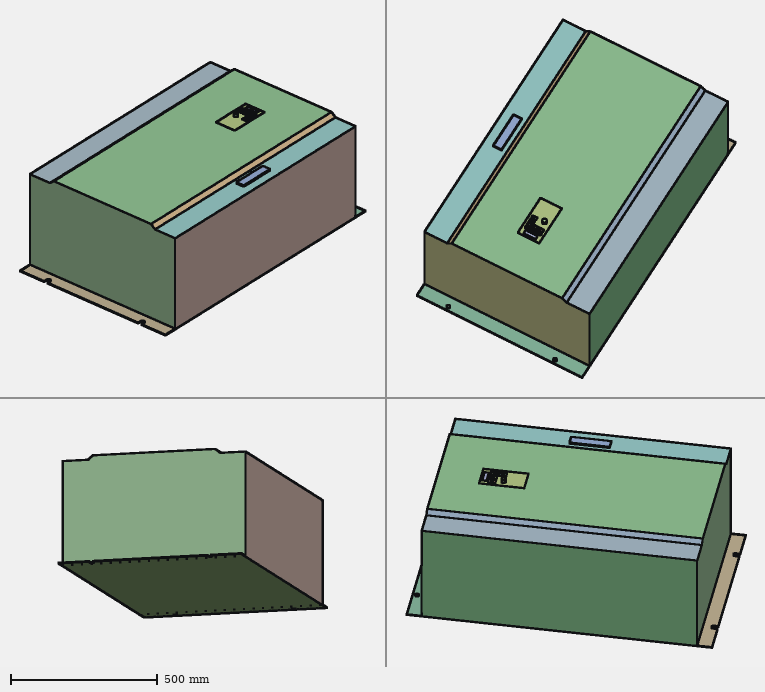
import cadquery as cq

PLATE_WIDTH = 650.0
PLATE_LENGTH = 1060.0
PLATE_THICKNESS = 3.0
MOUNT_SPACING = 420.0
HOLE_DIAMETER = 12.0
HOLE_EDGE_DISTANCE = 15.0
SLOT_WIDTH = 14.0
SLOT_DEPTH = 22.0

TOTAL_HEIGHT = 390.5
BODY_LENGTH = 957.0
DOOR_HEIGHT = 380.0
SHOULDER_HEIGHT = 365.5
DOOR_WIDTH = 434.0
DOOR_BEVEL = 18.0

KEYPAD_WIDTH = 84.0
KEYPAD_LENGTH = 157.0
KEYPAD_TOP_Y = 330.0
KEYPAD_Y = KEYPAD_TOP_Y - KEYPAD_LENGTH / 2
RECESS_DEPTH = 1.0
RECESS_FLOOR = DOOR_HEIGHT - RECESS_DEPTH

DISPLAY_WIDTH = 47.0
DISPLAY_LENGTH = 15.0
DISPLAY_OFFSET = 15.0
DISPLAY_Y = KEYPAD_TOP_Y - DISPLAY_OFFSET

BUTTON_WIDTH = 18.0
BUTTON_LENGTH = 10.0
BUTTON_PITCH_X = 22.0
BUTTON_PITCH_Y = 15.0
FIRST_BUTTON_OFFSET = 34.0
FIRST_BUTTON_Y = KEYPAD_TOP_Y - FIRST_BUTTON_OFFSET
BUTTONS_PER_COLUMN = (2, 2, 4)

KNOB_DIAMETER = 15.5
KNOB_X = -17.0
KNOB_OFFSET = 81.0
KNOB_Y = KEYPAD_TOP_Y - KNOB_OFFSET

HANDLE_WIDTH = 33.0
HANDLE_LENGTH = 140.0
HANDLE_HEIGHT = 5.0
HANDLE_X = 270.5
HANDLE_Y = 0.0


def block(width, length, height, x, y, z):
    """Box centred on (x, y) with its underside at z."""
    return cq.Workplane("XY", origin=(x, y, z)).box(width, length, height, centered=(True, True, False))


def mounting_plate():
    """Base plate with two round holes at the rear and two open slots at the front."""
    plate = block(PLATE_WIDTH, PLATE_LENGTH, PLATE_THICKNESS, 0, 0, 0)
    for x in (-MOUNT_SPACING / 2, MOUNT_SPACING / 2):
        hole = (
            cq.Workplane("XY")
            .center(x, PLATE_LENGTH / 2 - HOLE_EDGE_DISTANCE)
            .circle(HOLE_DIAMETER / 2)
            .extrude(PLATE_THICKNESS)
        )
        slot = (
            cq.Workplane("XY")
            .center(x, -PLATE_LENGTH / 2)
            .slot2D(2 * SLOT_DEPTH, SLOT_WIDTH, 90)
            .extrude(PLATE_THICKNESS)
        )
        plate = plate.cut(hole).cut(slot)
    return plate


def cabinet():
    """Closed cabinet whose raised door has bevelled long edges."""
    half_width = PLATE_WIDTH / 2
    half_door = DOOR_WIDTH / 2
    bevel_foot = half_door + DOOR_BEVEL
    outline = [
        (-half_width, 0),
        (half_width, 0),
        (half_width, SHOULDER_HEIGHT),
        (bevel_foot, SHOULDER_HEIGHT),
        (half_door, DOOR_HEIGHT),
        (-half_door, DOOR_HEIGHT),
        (-bevel_foot, SHOULDER_HEIGHT),
        (-half_width, SHOULDER_HEIGHT),
    ]
    return cq.Workplane("XZ").polyline(outline).close().extrude(BODY_LENGTH / 2, both=True)


def raised_pads():
    """Display and three columns of buttons rising from the recess floor, flush with the door."""
    pads = block(DISPLAY_WIDTH, DISPLAY_LENGTH, RECESS_DEPTH, 0, DISPLAY_Y, RECESS_FLOOR)
    middle_column = (len(BUTTONS_PER_COLUMN) - 1) / 2
    for column, count in enumerate(BUTTONS_PER_COLUMN):
        x = (column - middle_column) * BUTTON_PITCH_X
        for row in range(count):
            y = FIRST_BUTTON_Y - row * BUTTON_PITCH_Y
            pads = pads.union(block(BUTTON_WIDTH, BUTTON_LENGTH, RECESS_DEPTH, x, y, RECESS_FLOOR))
    return pads


def knob():
    """Round knob rising from the recess floor to the top of the part."""
    return (
        cq.Workplane("XY", origin=(KNOB_X, KNOB_Y, RECESS_FLOOR))
        .circle(KNOB_DIAMETER / 2)
        .extrude(TOTAL_HEIGHT - RECESS_FLOOR)
    )


def keypad_recess():
    """Shallow rectangular recess in the door that holds the keypad."""
    return block(KEYPAD_WIDTH, KEYPAD_LENGTH, RECESS_DEPTH, 0, KEYPAD_Y, RECESS_FLOOR)


def handle():
    """Flat handle standing on the right-hand shoulder."""
    return block(HANDLE_WIDTH, HANDLE_LENGTH, HANDLE_HEIGHT, HANDLE_X, HANDLE_Y, SHOULDER_HEIGHT)


door_and_cabinet = cabinet().cut(keypad_recess()).union(raised_pads()).union(knob())
result = mounting_plate().union(door_and_cabinet).union(handle())